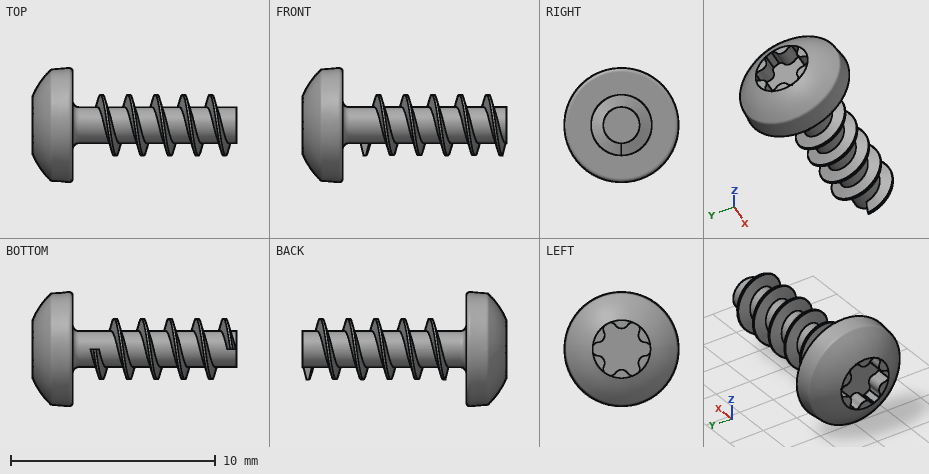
import cadquery as cq
import math

LENGTH = 9.97

HEAD_RADIUS = 2.8
HEAD_HEIGHT = 1.97
FLAT_RADIUS = 1.42
DOME_END = 0.92
DOME_RADIUS = 3.63
SIDE_TAPER = 5.0
RIM_FILLET = 0.17
BACK_FILLET = 0.2

SHANK_RADIUS = 0.89
NECK_FILLET = 0.29

RECESS_DEPTH = 0.87
LOBE_COUNT = 6
LOBE_REACH = 1.46
LOBE_RADIUS = 0.33
VALLEY_REACH = 1.01

THREAD_RADIUS = 1.49
PITCH = 1.34
TURNS = 5
THREAD_START = 3.04
ROOT_WIDTH = 0.42
CREST_WIDTH = 0.12
ROOT_OVERLAP = 0.05


def polar(radius, angle):
    """Point at a radius and an angle in degrees."""
    radians = math.radians(angle)
    return radius * math.cos(radians), radius * math.sin(radians)


def make_body():
    """Revolve the head and shank, then round the head edges and the neck."""
    taper = math.radians(SIDE_TAPER)
    back_radius = HEAD_RADIUS + BACK_FILLET * (math.tan(taper) + 1 / math.cos(taper) - 1)
    dome_rim_radius = back_radius - (HEAD_HEIGHT - DOME_END) * math.tan(taper)

    chord_x = DOME_END
    chord_r = dome_rim_radius - FLAT_RADIUS
    chord = math.hypot(chord_x, chord_r)
    bulge = DOME_RADIUS - math.sqrt(DOME_RADIUS**2 - (chord / 2) ** 2)
    dome_mid = (
        chord_x / 2 - bulge * chord_r / chord,
        FLAT_RADIUS + chord_r / 2 + bulge * chord_x / chord,
    )

    body = (
        cq.Workplane("XY")
        .lineTo(0, FLAT_RADIUS)
        .threePointArc(dome_mid, (DOME_END, dome_rim_radius))
        .lineTo(HEAD_HEIGHT, back_radius)
        .lineTo(HEAD_HEIGHT, SHANK_RADIUS)
        .lineTo(LENGTH, SHANK_RADIUS)
        .lineTo(LENGTH, 0)
        .close()
        .revolve(360, (0, 0, 0), (1, 0, 0))
    )
    body = fillet_circle(body, DOME_END, dome_rim_radius, RIM_FILLET)
    body = fillet_circle(body, HEAD_HEIGHT, back_radius, BACK_FILLET)
    return fillet_circle(body, HEAD_HEIGHT, SHANK_RADIUS, NECK_FILLET)


def fillet_circle(body, x, radius, fillet):
    """Round the circular edge at the given place along the axis and radius."""
    tolerance = 0.001
    edges = body.edges("%CIRCLE").filter(
        lambda edge: abs(edge.Center().x - x) < tolerance
        and abs(edge.radius() - radius) < tolerance
    )
    return edges.fillet(fillet)


def make_recess():
    """Six lobes joined by tangent inward ribs, trimmed to the flat front circle."""
    step = 360 / LOBE_COUNT
    half_step = step / 2
    lobe_centre = LOBE_REACH - LOBE_RADIUS

    spread = 2 * lobe_centre * math.cos(math.radians(half_step))
    rib_radius = (VALLEY_REACH**2 + lobe_centre**2 - spread * VALLEY_REACH - LOBE_RADIUS**2) / (
        spread + 2 * LOBE_RADIUS - 2 * VALLEY_REACH
    )
    rib_centre = VALLEY_REACH + rib_radius

    share = LOBE_RADIUS / (LOBE_RADIUS + rib_radius)
    rib_y, rib_z = polar(rib_centre, half_step)
    tangent_y = lobe_centre + share * (rib_y - lobe_centre)
    tangent_z = share * rib_z
    tangent_reach = math.hypot(tangent_y, tangent_z)
    tangent_angle = math.degrees(math.atan2(tangent_z, tangent_y))

    outline = cq.Workplane("YZ").moveTo(*polar(tangent_reach, -tangent_angle))
    for lobe in range(LOBE_COUNT):
        angle = lobe * step
        outline = outline.threePointArc(
            polar(LOBE_REACH, angle), polar(tangent_reach, angle + tangent_angle)
        ).threePointArc(
            polar(VALLEY_REACH, angle + half_step), polar(tangent_reach, angle + step - tangent_angle)
        )
    lobes = outline.close().extrude(RECESS_DEPTH)
    trim = cq.Workplane("YZ").circle(FLAT_RADIUS).extrude(RECESS_DEPTH)
    return lobes.intersect(trim)


def make_thread():
    """Sweep a tapered section along a right-hand helix that starts on the -Z side."""
    flank_slope = (ROOT_WIDTH - CREST_WIDTH) / 2 / (THREAD_RADIUS - SHANK_RADIUS)
    base_radius = SHANK_RADIUS - ROOT_OVERLAP
    base_half = ROOT_WIDTH / 2 + ROOT_OVERLAP * flank_slope
    crest_half = CREST_WIDTH / 2

    helix = cq.Wire.makeHelix(PITCH, PITCH * TURNS, SHANK_RADIUS)
    thread = (
        cq.Workplane("XZ")
        .polyline(
            [
                (base_radius, -base_half),
                (THREAD_RADIUS, -crest_half),
                (THREAD_RADIUS, crest_half),
                (base_radius, base_half),
            ]
        )
        .close()
        .sweep(cq.Workplane(obj=helix), isFrenet=True)
    )
    return thread.rotate((0, 0, 0), (0, 1, 0), 90).translate((THREAD_START, 0, 0))


result = make_body().cut(make_recess()).union(make_thread())